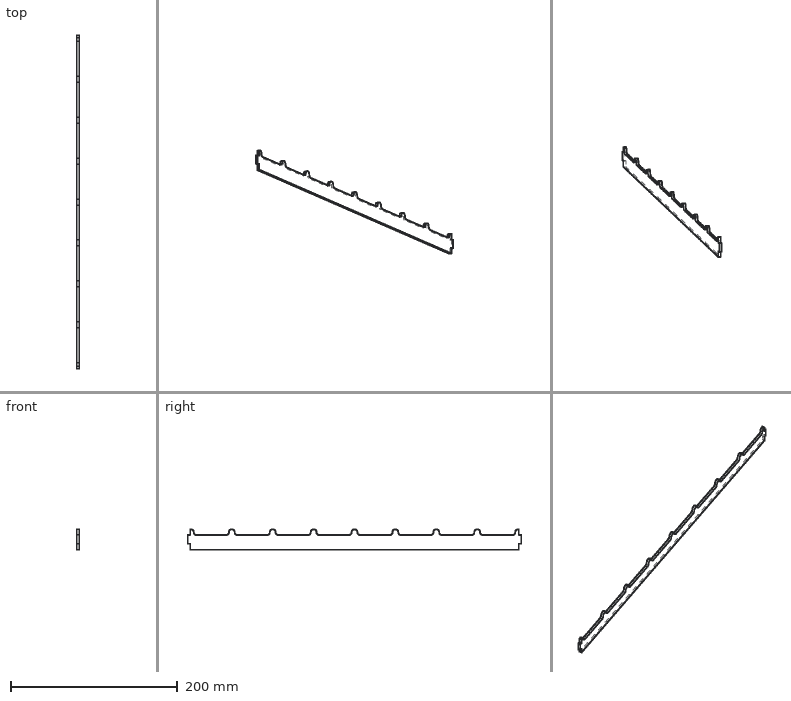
import cadquery as cq
import math

thickness = 3.0
overall_length = 400.0
overall_height = 25.0
bar_height = 18.0
bar_length = 394.0
tab_bottom = 7.0

tooth_count = 9
tooth_row_length = 392.0
tooth_radius = 3.5
root_radius = 3.0

tooth_pitch = tooth_row_length / (tooth_count - 1)
tooth_center_height = overall_height - tooth_radius


def plate(length, bottom, top):
    """Flat plate centred on Y, spanning the given heights."""
    return cq.Workplane("XY").box(thickness, length, top - bottom).translate((0, 0, (bottom + top) / 2))


def tooth(center_y):
    """Round-topped tooth with concave fillets blending into the bar."""
    diagonal = math.sqrt(0.5)
    root_half_width = tooth_radius + root_radius
    root_top = bar_height + root_radius
    arc_across = root_half_width - root_radius * diagonal
    arc_height = root_top - root_radius * diagonal
    return (
        cq.Workplane("YZ", origin=(-thickness / 2, center_y, 0))
        .moveTo(-root_half_width, tab_bottom)
        .lineTo(-root_half_width, bar_height)
        .threePointArc((-arc_across, arc_height), (-tooth_radius, root_top))
        .lineTo(-tooth_radius, tooth_center_height)
        .threePointArc((0, overall_height), (tooth_radius, tooth_center_height))
        .lineTo(tooth_radius, root_top)
        .threePointArc((arc_across, arc_height), (root_half_width, bar_height))
        .lineTo(root_half_width, tab_bottom)
        .close()
        .extrude(thickness)
    )


toothed_bar = plate(bar_length, 0, bar_height)
for index in range(tooth_count):
    toothed_bar = toothed_bar.union(tooth(index * tooth_pitch - tooth_row_length / 2))
toothed_bar = toothed_bar.intersect(plate(bar_length, 0, overall_height))

end_tabs = plate(overall_length, tab_bottom, bar_height)
result = toothed_bar.union(end_tabs).clean()